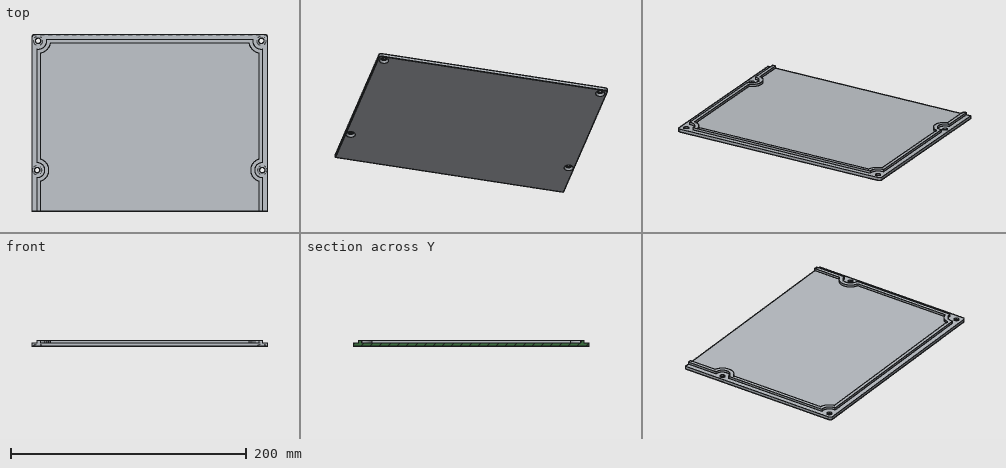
import cadquery as cq

length = 200.0
width = 150.0
height = 5.0
plate_thickness = 3.0
corner_radius = 2.5
bottom_chamfer = 0.5

rim_height = height - plate_thickness
rim_inset = 4.5
rim_thickness = 3.0
rim_arc_thickness = 3.5

hole_diameter = 4.5
countersink_diameter = 7.8
countersink_angle = 90
corner_hole_inset = 5.5
side_hole_inset = 4.5
side_hole_from_front = 35.0
corner_relief_radius = 7.2
side_relief_radius = 6.5

back = width / 2
front = -width / 2
corner_hole_x = length / 2 - corner_hole_inset
corner_hole_y = back - corner_hole_inset
side_hole_x = length / 2 - side_hole_inset
side_hole_y = front + side_hole_from_front

corner_holes = [(side * corner_hole_x, corner_hole_y) for side in (-1, 1)]
side_holes = [(side * side_hole_x, side_hole_y) for side in (-1, 1)]


def make_plate():
    """Plate with rounded back corners, chamfered below on all but the front edge."""
    plate = cq.Workplane("XY").box(length, width, plate_thickness, centered=(True, True, False))
    plate = plate.edges("|Z and >Y").fillet(corner_radius)
    bottom_edges = plate.faces("<Z").edges("not(<Y)")
    return bottom_edges.chamfer(bottom_chamfer)


def relieved_area(inset, relief_growth):
    """Rim-high block, inset from three edges, with round reliefs around the holes."""
    block = (
        cq.Workplane("XY", origin=(0, 0, plate_thickness))
        .center(0, -inset / 2)
        .rect(length - 2 * inset, width - inset)
        .extrude(rim_height)
    )
    for centers, radius in (
        (corner_holes, corner_relief_radius),
        (side_holes, side_relief_radius),
    ):
        reliefs = (
            cq.Workplane("XY", origin=(0, 0, plate_thickness))
            .pushPoints(centers)
            .circle(radius + relief_growth)
            .extrude(rim_height)
        )
        block = block.cut(reliefs)
    return block


def make_rim():
    """Rim following the edges and the hole reliefs."""
    outer = relieved_area(rim_inset, 0)
    inner = relieved_area(rim_inset + rim_thickness, rim_arc_thickness)
    return outer.cut(inner)


def drill_holes(lid):
    """Through holes countersunk from the underside."""
    return (
        lid.copyWorkplane(cq.Workplane("XY").transformed(rotate=(180, 0, 0)))
        .pushPoints([(x, -y) for x, y in corner_holes + side_holes])
        .cskHole(hole_diameter, countersink_diameter, countersink_angle)
    )


result = drill_holes(make_plate().union(make_rim()))